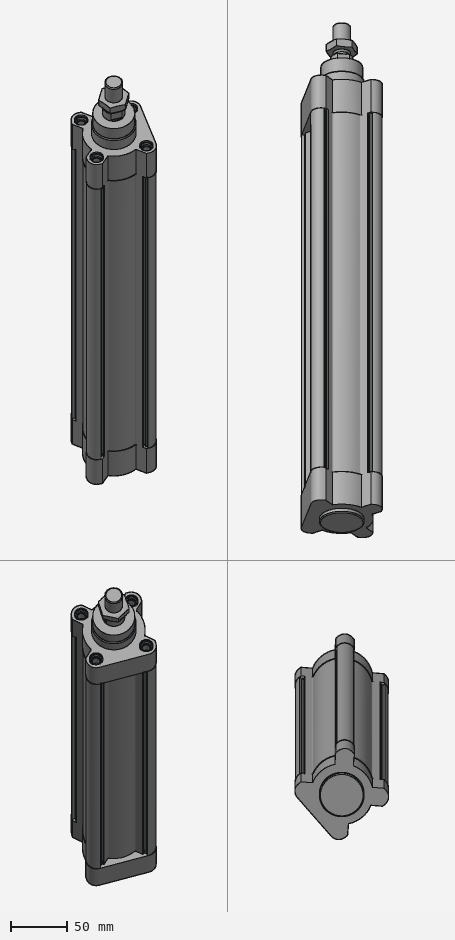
import cadquery as cq
import math


TOTAL_LENGTH = 498.0
SPIGOT_HEIGHT = 4.0
CAP_LENGTH = 33.0
CAP_TOP = 430.0
COLLAR_TOP = 456.5
COLLAR_STEP = 443.0
ROD_SHOULDER = 466.0
FLATS_BOTTOM = 458.0
UNDERCUT_TOP = 469.0
NUT_BOTTOM = 471.0
NUT_HEIGHT = 8.0
CAP_BOTTOM = SPIGOT_HEIGHT
TUBE_BOTTOM = CAP_BOTTOM + CAP_LENGTH
TUBE_TOP = CAP_TOP - CAP_LENGTH

WIDTH = 64.0
HALF_WIDTH = WIDTH / 2
NOTCH_HALF_WIDTH = 20.5
NOTCH_DEPTH = 12.0
CAP_CORNER_RADIUS = 9.0
CAP_BARREL_DIAMETER = 56.0
TUBE_CORNER_RADIUS = 10.0
TUBE_BARREL_DIAMETER = 55.0
TUBE_ROOT_FILLET = 1.5

SLOT_CENTRE = 19.5
SLOT_WIDTH = 4.5
SLOT_FLOOR = 29.5
SLOT_CORE_WIDTH = 1.5
SLOT_CORE_FLOOR = 25.0

COLLAR_DIAMETER = 40.0
COLLAR_NECK_DIAMETER = 37.5
COLLAR_CHAMFER = 1.0
BOLT_PITCH = 46.5
BOLT_RECESS_DIAMETER = 12.0
BOLT_RECESS_DEPTH = 2.0
BOLT_HOLE_DIAMETER = 8.0
BOLT_HOLE_DEPTH = 5.0
BOLT_COUNTERSINK_DIAMETER = 10.0
BOLT_CORE_DIAMETER = 6.5
BOLT_CORE_DEPTH = 15.0
DRILL_POINT_ANGLE = 118.0

ROD_DIAMETER = 20.0
ROD_FLATS = 17.0
THREAD_DIAMETER = 16.0
THREAD_CHAMFER = 1.0
THREAD_RUNOUT = 2.0
UNDERCUT_DIAMETER = 13.5
UNDERCUT_FILLET = 1.5
NUT_FLATS = 24.5
NUT_BEVEL_DIAMETER = 23.5
NUT_BEVEL_ANGLE = 15.0


def cylinder(diameter, bottom, top):
    return cq.Workplane("XY").workplane(offset=bottom).circle(diameter / 2).extrude(top - bottom)


def quarter_turns(body, count=4):
    """Copies of a body drawn on the -Y side, turned to the first `count` of -Y, +X, -X, +Y."""
    return [body.rotate((0, 0, 0), (0, 0, 1), angle) for angle in (0, 90, -90, 180)[:count]]


def profile(bottom, top, corner_radius, barrel_diameter, notched_sides):
    """Rounded square bar with sloped notches in its sides and a round barrel in the middle."""
    length = top - bottom
    bar = cq.Workplane("XY").workplane(offset=bottom).rect(WIDTH, WIDTH).extrude(length)
    bar = bar.edges("|Z").fillet(corner_radius)
    notch_floor_half_width = NOTCH_HALF_WIDTH - NOTCH_DEPTH
    notch = (
        cq.Workplane("XY")
        .workplane(offset=bottom)
        .polyline([
            (-NOTCH_HALF_WIDTH, -HALF_WIDTH),
            (NOTCH_HALF_WIDTH, -HALF_WIDTH),
            (notch_floor_half_width, NOTCH_DEPTH - HALF_WIDTH),
            (-notch_floor_half_width, NOTCH_DEPTH - HALF_WIDTH),
        ])
        .close()
        .extrude(length)
    )
    for cutter in quarter_turns(notch, notched_sides):
        bar = bar.cut(cutter)
    return bar.union(cylinder(barrel_diameter, bottom, top))


def end_cap(bottom):
    """Cap with three notched sides and a flat +Y side."""
    return profile(bottom, bottom + CAP_LENGTH, CAP_CORNER_RADIUS, CAP_BARREL_DIAMETER, 3)


def slot_cutter(width, floor):
    """Pair of straight slots in the -Y side, down to a flat floor."""
    depth = HALF_WIDTH - floor
    return (
        cq.Workplane("XY")
        .workplane(offset=TUBE_BOTTOM)
        .pushPoints([(side * SLOT_CENTRE, -floor - depth / 2) for side in (-1, 1)])
        .rect(width, depth)
        .extrude(TUBE_TOP - TUBE_BOTTOM)
    )


def is_notch_root(edge):
    """True for the upright edges where the notch walls meet the tube's barrel."""
    centre = edge.Center()
    return math.isclose(math.hypot(centre.x, centre.y), TUBE_BARREL_DIAMETER / 2, rel_tol=1e-4)


def tube():
    body = profile(TUBE_BOTTOM, TUBE_TOP, TUBE_CORNER_RADIUS, TUBE_BARREL_DIAMETER, 4)
    body = body.edges("|Z").filter(is_notch_root).fillet(TUBE_ROOT_FILLET)
    slots = slot_cutter(SLOT_WIDTH, SLOT_FLOOR).union(slot_cutter(SLOT_CORE_WIDTH, SLOT_CORE_FLOOR))
    for cutter in quarter_turns(slots):
        body = body.cut(cutter)
    return body


def collar():
    base = cylinder(COLLAR_DIAMETER, CAP_TOP, COLLAR_STEP).faces(">Z").chamfer(COLLAR_CHAMFER)
    return base.union(cylinder(COLLAR_NECK_DIAMETER, COLLAR_STEP, COLLAR_TOP))


def spigot():
    return cylinder(COLLAR_DIAMETER, 0, SPIGOT_HEIGHT).faces("<Z").chamfer(COLLAR_CHAMFER)


def bolt_hole_cutter():
    """Stepped blind hole with a drill point, below the top of the upper cap."""
    core_radius = BOLT_CORE_DIAMETER / 2
    core_bottom = CAP_TOP - BOLT_CORE_DEPTH
    point_depth = core_radius / math.tan(math.radians(DRILL_POINT_ANGLE / 2))
    point = cq.Solid.makeCone(0, core_radius, point_depth, cq.Vector(0, 0, core_bottom - point_depth))
    recess_floor = CAP_TOP - BOLT_RECESS_DEPTH
    sink_radius = BOLT_COUNTERSINK_DIAMETER / 2
    sink = cq.Solid.makeCone(0, sink_radius, sink_radius, cq.Vector(0, 0, recess_floor - sink_radius))
    return (
        cylinder(BOLT_RECESS_DIAMETER, recess_floor, CAP_TOP)
        .union(cq.Workplane(sink))
        .union(cylinder(BOLT_HOLE_DIAMETER, CAP_TOP - BOLT_HOLE_DEPTH, CAP_TOP))
        .union(cylinder(BOLT_CORE_DIAMETER, core_bottom, CAP_TOP))
        .union(cq.Workplane(point))
    )


def make_housing():
    body = tube().union(end_cap(CAP_BOTTOM)).union(end_cap(TUBE_TOP)).union(collar()).union(spigot())
    for x in (-BOLT_PITCH / 2, BOLT_PITCH / 2):
        for y in (-BOLT_PITCH / 2, BOLT_PITCH / 2):
            body = body.cut(bolt_hole_cutter().translate((x, y, 0)))
    return body.cut(cylinder(ROD_DIAMETER, TUBE_TOP, COLLAR_TOP))


def rod_shank():
    """Plain rod with two flats across X at its upper end."""
    shank = cylinder(ROD_DIAMETER, TUBE_TOP, FLATS_BOTTOM)
    flats_blank = (
        cq.Workplane("XY")
        .workplane(offset=FLATS_BOTTOM)
        .rect(ROD_FLATS, ROD_DIAMETER)
        .extrude(ROD_SHOULDER - FLATS_BOTTOM)
    )
    return shank.union(cylinder(ROD_DIAMETER, FLATS_BOTTOM, ROD_SHOULDER).intersect(flats_blank))


def rod_end():
    """Undercut with a filleted foot, a conical run-out and a plain cylinder in place of the thread."""
    undercut_radius = UNDERCUT_DIAMETER / 2
    thread_radius = THREAD_DIAMETER / 2
    foot_radius = undercut_radius + UNDERCUT_FILLET
    foot_top = ROD_SHOULDER + UNDERCUT_FILLET
    arc_offset = UNDERCUT_FILLET * (1 - math.sqrt(0.5))
    return (
        cq.Workplane("XZ")
        .moveTo(0, ROD_SHOULDER)
        .lineTo(foot_radius, ROD_SHOULDER)
        .threePointArc(
            (undercut_radius + arc_offset, ROD_SHOULDER + arc_offset),
            (undercut_radius, foot_top),
        )
        .lineTo(undercut_radius, UNDERCUT_TOP)
        .lineTo(thread_radius, UNDERCUT_TOP + THREAD_RUNOUT)
        .lineTo(thread_radius, TOTAL_LENGTH - THREAD_CHAMFER)
        .lineTo(thread_radius - THREAD_CHAMFER, TOTAL_LENGTH)
        .lineTo(0, TOTAL_LENGTH)
        .close()
        .revolve(360, (0, 0, 0), (0, 1, 0))
    )


def make_rod():
    return rod_shank().union(rod_end())


def make_nut():
    """Hexagon nut with two sides across X; its corners are bevelled at both ends."""
    corner_radius = NUT_FLATS / math.sqrt(3)
    bevel_radius = NUT_BEVEL_DIAMETER / 2
    bevel_height = (corner_radius - bevel_radius) * math.tan(math.radians(NUT_BEVEL_ANGLE))
    hexagon = (
        cq.Workplane("XY")
        .workplane(offset=NUT_BOTTOM)
        .polygon(6, 2 * corner_radius)
        .extrude(NUT_HEIGHT)
        .rotate((0, 0, 0), (0, 0, 1), 90)
    )
    envelope = (
        cq.Workplane("XZ")
        .polyline([
            (0, 0),
            (bevel_radius, 0),
            (corner_radius, bevel_height),
            (corner_radius, NUT_HEIGHT - bevel_height),
            (bevel_radius, NUT_HEIGHT),
            (0, NUT_HEIGHT),
        ])
        .close()
        .revolve(360, (0, 0, 0), (0, 1, 0))
        .translate((0, 0, NUT_BOTTOM))
    )
    return hexagon.intersect(envelope).cut(cylinder(THREAD_DIAMETER, NUT_BOTTOM, NUT_BOTTOM + NUT_HEIGHT))


housing = make_housing()
rod = make_rod()
nut = make_nut()

result = cq.Compound.makeCompound([housing.val(), rod.val(), nut.val()])